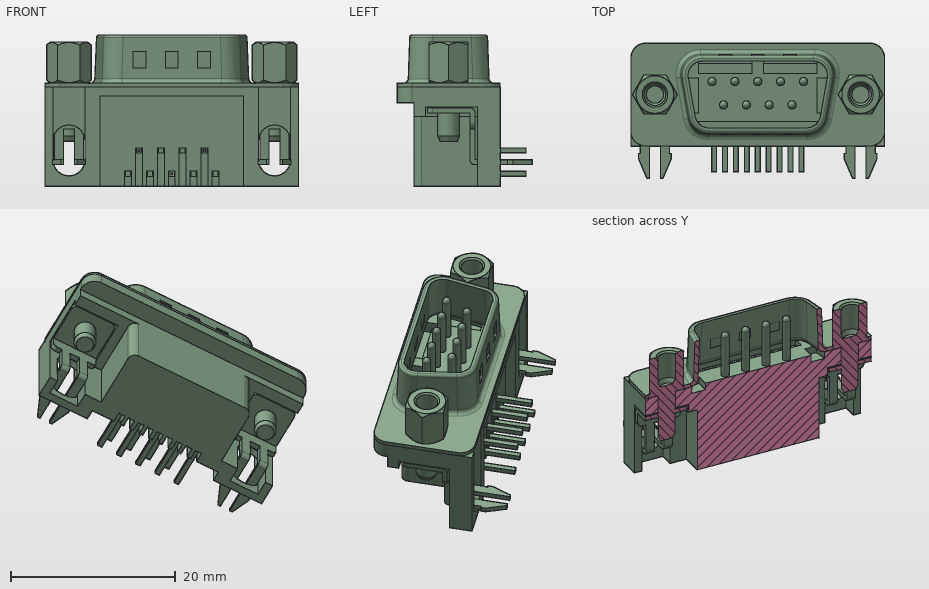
import cadquery as cq
import math


width = 30.8
flange_depth = 12.5
flange_thickness = 0.5
flange_corner_radius = 1.82
housing_height = 12.05
flange_top = housing_height + flange_thickness
half_flange = flange_depth / 2
housing_front = -6.28
mount_x = 12.47
sides = (-1, 1)

shell_top = 18.4
shell_draft = 2.0
shell_half_height = 4.93
shell_half_width = 8.95
shell_wall = 0.68
shell_side_angle = 10.0
shell_corner_radius = 2.4
shell_rim_radius = 0.35
shell_foot_radius = 0.55
shell_mouth_radius = 0.8
dimple_count = 3
dimple_width = 1.55
dimple_height = 2.0
dimple_pitch = 3.9
dimple_z = 15.4
outer_dimple_depth = 0.22
inner_dimple_flush_z = 15.62

housing_top_block_bottom = 10.13
wing_back = 4.22
wing_bottom = 8.5
front_wall_back = -3.48
core_half_width = 8.32
core_corner_radius = 0.95
channel_width = 3.85
channel_depth = 1.97
channel_top_arc = 7.45
channel_bottom_arc = 1.3
channel_lip = 0.92
panel_half_width = 8.72
panel_height = 11.0
panel_depth = 1.25
panel_y = housing_front + panel_depth
clip_pocket_top = 9.6
clip_pocket_back = 2.83
clip_pocket_inner_x = 9.5

face_half_width = 7.2
face_pocket_depth = 0.92
undercut_depth = 1.55
upper_pocket_bottom = 2.55
undercut_front = 3.75
upper_rib_width = 1.42
lower_pocket_top = -3.3
side_pocket_top = 2.0
side_pocket_bottom = -2.25

pin_radius = 0.5
pin_tip = 18.05
pin_pitch = 2.77
tail_pitch = 2.65
tail_size = 0.62
tail_end = -9.4
tail_socket_size = 0.22
tail_socket_depth = 0.15
groove_width = 0.83
groove_depth = 1.23
contact_rows = (
    {"count": 5, "pin_y": 1.57, "tail_z": 1.55, "socket_tails": (2,)},
    {"count": 4, "pin_y": -1.25, "tail_z": 4.37, "socket_tails": (0, 3)},
)

standoff_flats = 4.7
standoff_height = 5.0
standoff_chamfer_radius = 2.28
standoff_chamfer_height = 0.37
bore_radius = 1.32
bore_mouth_radius = 1.55
bore_depth = 3.7
screw_radius = bore_radius
screw_end = 5.48
cone_tip_radius = 1.05
cone_length = 0.62

clip_thickness = 0.62
clip_width = 5.85
clip_top = 9.52
clip_back = 2.55
clip_front = -3.2
clip_tail_bottom = 2.65
clip_bend_radius = 0.6
clip_corner_radius = 0.62
clip_shoulder_z = 6.95
prong_inner_x = 0.65
prong_outer_x = 1.8
barb_x = 2.0
barb_tip_x = 1.0
barb_start = -7.15
barb_taper_start = -7.8
prong_end = -10.15


def block(x_range, y_range, z_range):
    """Axis-aligned box between pairs of limits."""
    size = [high - low for low, high in (x_range, y_range, z_range)]
    corner = (x_range[0], y_range[0], z_range[0])
    return cq.Workplane("XY").box(*size, centered=False).translate(corner)


def shell_taper_at(z):
    """Distance by which the shroud's draft has drawn its walls in at height z."""
    return (z - flange_top) * math.tan(math.radians(shell_draft))


def shroud(inset, z_bottom, z_top):
    """Drafted D-shaped prism, inset from the shroud's outer surface."""
    side_angle = math.radians(shell_side_angle)
    offset = -inset - shell_taper_at(z_bottom)
    half_height = shell_half_height + offset
    middle = shell_half_width + offset / math.cos(side_angle)
    lean = half_height * math.tan(side_angle)
    corners = [
        (-middle - lean, half_height),
        (middle + lean, half_height),
        (middle - lean, -half_height),
        (-middle + lean, -half_height),
    ]
    prism = (
        cq.Workplane("XY").workplane(offset=z_bottom)
        .polyline(corners).close()
        .extrude(z_top - z_bottom, taper=shell_draft)
    )
    return prism.edges("not(#Z or |X)").fillet(shell_corner_radius - inset)


def revolved(profile, x):
    """Solid of revolution about the vertical axis through (x, 0); profile is (radius, z)."""
    half = cq.Workplane("XZ").polyline(profile).close()
    return half.revolve(360, (0, 0), (0, 1)).translate((x, 0, 0))


def housing_blank():
    """Top block, wings, full-width front wall and central core."""
    half_width = width / 2
    top = block((-half_width, half_width), (housing_front, half_flange),
                (housing_top_block_bottom, housing_height))
    top = top.edges("|Z and >Y").fillet(flange_corner_radius)
    wings = block((-half_width, half_width), (housing_front, wing_back), (wing_bottom, housing_height))
    wall = block((-half_width, half_width), (housing_front, front_wall_back), (0, housing_height))
    core = block((-core_half_width, core_half_width), (housing_front, wing_back), (0, housing_height))
    core = core.edges("|Z and >Y").fillet(core_corner_radius)
    return top.union(wings).union(wall).union(core)


def clip_openings(x_side):
    """Front channel, through slot, notch behind its lip, clip pocket and screw hole at one end."""
    x = x_side * mount_x
    slot_height = channel_top_arc - channel_bottom_arc
    slot = (
        cq.Workplane("XZ", origin=(x, front_wall_back, (channel_top_arc + channel_bottom_arc) / 2))
        .slot2D(slot_height, channel_width, 90)
        .extrude(front_wall_back - housing_front, both=True)
    )
    channel = block(
        (x - channel_width / 2, x + channel_width / 2),
        (housing_front, housing_front + channel_depth),
        (channel_bottom_arc + channel_width / 2, housing_height),
    )
    rear_notch = block(
        (x - channel_width / 2, x + channel_width / 2),
        (housing_front + channel_lip, front_wall_back),
        (0, channel_bottom_arc + channel_width / 2),
    )
    pocket = block(
        sorted((x_side * clip_pocket_inner_x, x_side * width / 2)),
        (front_wall_back, clip_pocket_back),
        (wing_bottom, clip_pocket_top),
    )
    hole = cq.Workplane("XY").center(x, 0).circle(screw_radius).extrude(housing_height)
    hole = hole.intersect(block((-width, width), (-width, width), (wing_bottom, housing_height)))
    return slot.union(channel).union(rear_notch).union(pocket).union(hole)


def mating_face_pockets():
    """Pockets around the contacts, out to the shell's flared mouth; the upper pair has deeper outer slots."""
    z_range = (housing_height - face_pocket_depth, housing_height)
    undercut_range = (housing_height - undercut_depth, housing_height)
    bound = shroud(shell_wall - shell_mouth_radius, undercut_range[0], housing_height)
    pockets = block((-face_half_width, face_half_width), (-half_flange, lower_pocket_top), z_range)
    undercuts = cq.Workplane("XY")
    for x_side in sides:
        upper_x = sorted((x_side * upper_rib_width / 2, x_side * face_half_width))
        side_x = sorted((x_side * face_half_width, x_side * width / 2))
        pockets = pockets.union(block(upper_x, (upper_pocket_bottom, undercut_front), z_range))
        undercuts = undercuts.union(block(upper_x, (undercut_front, half_flange), undercut_range))
        pockets = pockets.union(block(side_x, (side_pocket_bottom, side_pocket_top), z_range))
    return pockets.union(undercuts).intersect(bound)


def row_positions(count, pitch):
    """X positions of evenly spaced items centred on X = 0."""
    return [(i - (count - 1) / 2) * pitch for i in range(count)]


def contact_pin(x, y):
    """Round pin with a hemispherical tip, rooted in the housing."""
    root = housing_height - face_pocket_depth
    dome_centre = pin_tip - pin_radius
    shaft = (
        cq.Workplane("XY").workplane(offset=root).center(x, y)
        .circle(pin_radius).extrude(dome_centre - root)
    )
    dome = cq.Workplane("XY").sphere(pin_radius).translate((x, y, dome_centre))
    return shaft.union(dome)


def tail_groove(x, tail_z):
    """Groove in the front panel that runs from the top of a tail to the underside."""
    return block(
        (x - groove_width / 2, x + groove_width / 2),
        (panel_y, panel_y + groove_depth),
        (0, tail_z + tail_size / 2),
    )


def contact_tail(x, tail_z):
    """Square tail that leaves the back of its groove toward the front."""
    return block(
        (x - tail_size / 2, x + tail_size / 2),
        (tail_end, panel_y + groove_depth),
        (tail_z - tail_size / 2, tail_z + tail_size / 2),
    )


def tail_socket(x, tail_z):
    """Tiny square recess in the end of a tail."""
    half_size = tail_socket_size / 2
    return block(
        (x - half_size, x + half_size),
        (tail_end, tail_end + tail_socket_depth),
        (tail_z - half_size, tail_z + half_size),
    )


def make_insulator():
    body = housing_blank()
    panel = block((-panel_half_width, panel_half_width), (housing_front, panel_y), (0, panel_height))
    body = body.cut(panel).cut(mating_face_pockets())
    for x_side in sides:
        body = body.cut(clip_openings(x_side))
    for row in contact_rows:
        for x in row_positions(row["count"], pin_pitch):
            body = body.union(contact_pin(x, row["pin_y"]))
        for index, x in enumerate(row_positions(row["count"], tail_pitch)):
            body = body.cut(tail_groove(x, row["tail_z"]))
            body = body.union(contact_tail(x, row["tail_z"]))
            if index in row["socket_tails"]:
                body = body.cut(tail_socket(x, row["tail_z"]))
    return body


def dimple_blocks(y_limits):
    """Dimple-sized blocks between two distances from the centre plane, on both long walls."""
    z_range = (dimple_z - dimple_height / 2, dimple_z + dimple_height / 2)
    blocks = cq.Workplane("XY")
    for x in row_positions(dimple_count, dimple_pitch):
        x_range = (x - dimple_width / 2, x + dimple_width / 2)
        for y_side in sides:
            blocks = blocks.union(block(x_range, sorted(y_side * y for y in y_limits), z_range))
    return blocks


def shroud_zone(z):
    """Selector for edges at height z that lie well inside the flange outline."""
    half_width = width / 2 - flange_corner_radius
    half_depth = half_flange - flange_thickness
    slack = flange_thickness / 4
    low_corner = (-half_width, -half_depth, z - slack)
    high_corner = (half_width, half_depth, z + slack)
    return cq.selectors.BoxSelector(low_corner, high_corner)


def shell():
    """Flange plate with the hollow, drafted shroud."""
    flange = (
        cq.Workplane("XY").workplane(offset=housing_height)
        .rect(width, flange_depth).extrude(flange_thickness)
        .edges("|Z").fillet(flange_corner_radius)
    )
    outer = shroud(0, flange_top, shell_top).faces(">Z").edges().fillet(shell_rim_radius)
    body = flange.union(outer).edges(shroud_zone(flange_top)).fillet(shell_foot_radius)
    body = body.cut(shroud(shell_wall, housing_height, shell_top))
    body = body.edges(shroud_zone(housing_height)).fillet(shell_mouth_radius)
    inner_dimple_y = shell_half_height - shell_wall - shell_taper_at(inner_dimple_flush_z)
    recess_y = shell_half_height - shell_taper_at(dimple_z) - outer_dimple_depth
    body = body.union(dimple_blocks((inner_dimple_y, recess_y)))
    return body.cut(dimple_blocks((recess_y, half_flange)))


def standoff(x):
    """Hexagonal standoff, chamfered at both ends, with a blind bore."""
    top = flange_top + standoff_height
    across_corners = standoff_flats / math.cos(math.pi / 6)
    corner_radius = across_corners / 2
    hexagon = (
        cq.Workplane("XY").workplane(offset=flange_top).center(x, 0)
        .polygon(6, across_corners).extrude(standoff_height)
    )
    chamfer_envelope = revolved([
        (0, flange_top),
        (standoff_chamfer_radius, flange_top),
        (corner_radius, flange_top + standoff_chamfer_height),
        (corner_radius, top - standoff_chamfer_height),
        (standoff_chamfer_radius, top),
        (0, top),
    ], x)
    bore = revolved([
        (0, top),
        (bore_mouth_radius, top),
        (bore_radius, top - (bore_mouth_radius - bore_radius)),
        (bore_radius, top - bore_depth),
        (cone_tip_radius, top - bore_depth - cone_length),
        (0, top - bore_depth - cone_length),
    ], x)
    return hexagon.intersect(chamfer_envelope).cut(bore)


def screw(x):
    """Screw end below the flange, with a tapered point."""
    return revolved([
        (0, housing_height),
        (screw_radius, housing_height),
        (screw_radius, screw_end + cone_length),
        (cone_tip_radius, screw_end),
        (0, screw_end),
    ], x)


def clip_strip():
    """Plate and leg of a clip, bent from one strip and centred on X = 0."""
    half_width = clip_width / 2
    leg_back = clip_front + clip_thickness
    y_range = (clip_front, leg_back)
    plate = block((-half_width, half_width), (clip_front, clip_back), (clip_top - clip_thickness, clip_top))
    plate = plate.edges("|Z and >Y").fillet(clip_corner_radius)
    leg = block((-prong_outer_x, prong_outer_x), y_range, (clip_tail_bottom, clip_top))
    shoulders = block((-half_width, half_width), y_range, (clip_shoulder_z, clip_top))
    shoulders = shoulders.edges("|Y and <Z").fillet(clip_corner_radius)
    strip = plate.union(leg).union(shoulders)
    strip = strip.faces(">Z").edges("<Y").fillet(clip_bend_radius)
    strip = strip.faces("<Z").edges(">Y").fillet(clip_bend_radius)
    slot = block((-prong_inner_x, prong_inner_x), y_range, (clip_tail_bottom, clip_shoulder_z))
    return strip.cut(slot)


def clip_prong():
    """Barbed prong on the +X side of a clip centred on X = 0."""
    outline = [
        (prong_inner_x, clip_front),
        (prong_outer_x, clip_front),
        (prong_outer_x, barb_start),
        (barb_x, barb_start),
        (barb_x, barb_taper_start),
        (barb_tip_x, prong_end),
        (prong_inner_x, prong_end),
    ]
    return (
        cq.Workplane("XY").workplane(offset=clip_tail_bottom)
        .polyline(outline).close().extrude(clip_thickness)
    )


def clip(x):
    """Board clip with its two barbed prongs."""
    prong = clip_prong()
    return clip_strip().union(prong).union(prong.mirror("YZ")).translate((x, 0, 0))


def make_metalwork():
    body = shell()
    for x_side in sides:
        x = x_side * mount_x
        body = body.union(standoff(x)).union(screw(x)).union(clip(x))
    return body


insulator = make_insulator().solids()
metalwork = make_metalwork().solids()
result = cq.Compound.makeCompound([insulator.val(), metalwork.val()])